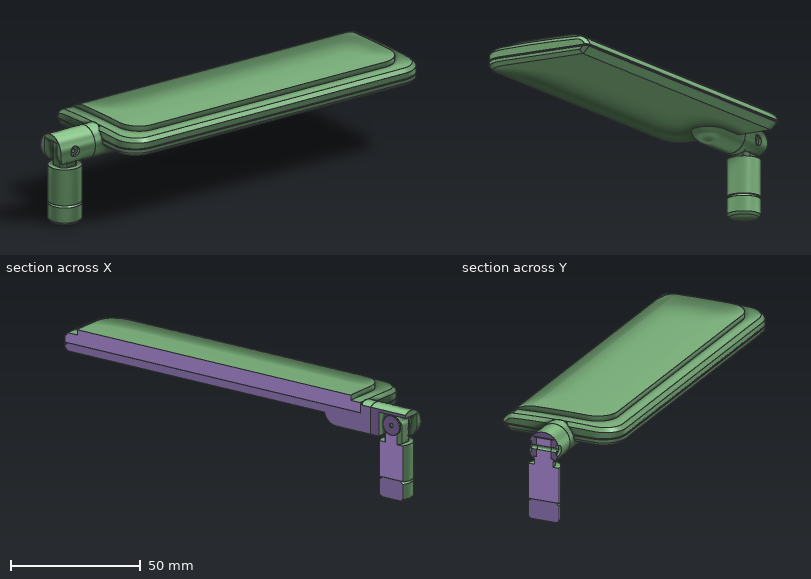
import cadquery as cq
import math


blade_half_width = 24.5
blade_near_y = 13.1
blade_far_y = 155.5
blade_crown_z = 6.5
blade_shoulder_x = -20.3
blade_shoulder_z = 6.0
blade_edge_z = 5.8
blade_bottom_z = -1.1
blade_bottom_left_x = -21.1
blade_corner_radius = 9.7
blade_edge_chamfer = 1.5
upper_nose_bulge = 0.6
lower_nose_bulge = 0.2

upper_rim_z = 2.1
lower_rim_z = 1.6
gap_depth = 0.8

pad_left_x = -22.2
pad_left_z = 5.0
pad_shoulder_x = -13.8
pad_right_x = 18.3
pad_end_margin = 6.0
pad_crown_z = 8.6
pad_shoulder_z = 8.5
pad_right_z = 8.3
pad_nose_bulge = 0.6
pad_corner_radius = 9.1

barrel_radius = 6.7
joint_y = 9.7
barrel_dome_y = 26.3

fork_end_radius = 6.8
slot_half_width = 4.0
slot_roof_z = 4.2
slot_back_y = 5.7
slot_back_z = -5.4
boss_radius = 4.0
boss_face_x = 3.0
hinge_bore_radius = 0.8
hinge_recess_radius = 2.1
hinge_recess_floor_x = 5.4

neck_radius = 4.5
neck_flat = 4.0
sleeve_radius = 6.7
sleeve_top_z = -7.1
sleeve_bottom_z = -21.9
nut_bottom_z = -30.0
nut_chamfer = 1.0


def cylinder_x(radius, start_x, end_x):
    """Cylinder about the hinge axis."""
    return cq.Workplane("YZ", origin=(start_x, 0, 0)).circle(radius).extrude(end_x - start_x)


def cylinder_y(radius, start_y, end_y):
    """Cylinder about the barrel axis."""
    return cq.Workplane("XZ", origin=(0, start_y, 0)).circle(radius).extrude(start_y - end_y)


def cylinder_z(radius, bottom_z, top_z):
    """Cylinder about the connector axis."""
    return cq.Workplane("XY", origin=(0, 0, bottom_z)).circle(radius).extrude(top_z - bottom_z)


def bulged_midpoint(start, end, bulge):
    """Midpoint of a chord, moved by the bulge to the left of the direction of travel."""
    run = end[0] - start[0]
    rise = end[1] - start[1]
    chord = math.hypot(run, rise)
    middle_x = (start[0] + end[0]) / 2 - bulge * rise / chord
    middle_z = (start[1] + end[1]) / 2 + bulge * run / chord
    return middle_x, middle_z


def section_sketch(far_y):
    """Workplane for a blade cross-section, extruded from its far end toward -Y."""
    return cq.Workplane("XZ", origin=(0, far_y, 0))


def make_blade():
    """Whole blade with a crowned top, a pointed left edge and chamfered rims."""
    tip = (-blade_half_width, upper_rim_z)
    shoulder = (blade_shoulder_x, blade_shoulder_z)
    bottom_left = (blade_bottom_left_x, blade_bottom_z)
    blade = (
        section_sketch(blade_far_y)
        .moveTo(*tip)
        .threePointArc(bulged_midpoint(tip, shoulder, upper_nose_bulge), shoulder)
        .threePointArc((0, blade_crown_z), (blade_half_width, blade_edge_z))
        .lineTo(blade_half_width, blade_bottom_z)
        .lineTo(*bottom_left)
        .threePointArc(bulged_midpoint(bottom_left, tip, lower_nose_bulge), tip)
        .close()
        .extrude(blade_far_y - blade_near_y)
    )
    blade = blade.edges("|Z and >X").fillet(blade_corner_radius)
    return blade.faces("<Y or >Y").edges("not |Z").chamfer(blade_edge_chamfer)


def make_layer(start_z, end_z):
    """Block wider than the blade, between two heights."""
    layer = cq.Workplane("XY", origin=(0, barrel_dome_y, start_z))
    return layer.rect(4 * blade_half_width, 2 * blade_far_y).extrude(end_z - start_z)


def make_pad():
    """Crowned pad whose left side curves down into the blade."""
    left = (pad_left_x, pad_left_z)
    shoulder = (pad_shoulder_x, pad_shoulder_z)
    pad_near_y = blade_near_y + pad_end_margin
    pad_far_y = blade_far_y - pad_end_margin
    pad = (
        section_sketch(pad_far_y)
        .moveTo(*left)
        .threePointArc(bulged_midpoint(left, shoulder, pad_nose_bulge), shoulder)
        .threePointArc((0, pad_crown_z), (pad_right_x, pad_right_z))
        .lineTo(pad_right_x, upper_rim_z)
        .lineTo(pad_left_x, upper_rim_z)
        .close()
        .extrude(pad_far_y - pad_near_y)
    )
    return pad.edges("|Z and >X").fillet(pad_corner_radius)


def make_collar():
    """Full round of the barrel between the fork and the top of the blade's end chamfer."""
    return cylinder_y(barrel_radius, joint_y, blade_near_y + blade_edge_chamfer)


def make_seat():
    """Raised middle of the lower shell, inside the shadow gap, on which the upper shell rests."""
    width = 2 * (blade_half_width - gap_depth)
    length = blade_far_y - blade_near_y - 2 * gap_depth
    seat = cq.Workplane("XY", origin=(0, (blade_near_y + blade_far_y) / 2, lower_rim_z))
    seat = seat.rect(width, length).extrude(upper_rim_z - lower_rim_z)
    return seat.edges("|Z and >X").fillet(blade_corner_radius - gap_depth)


def make_upper_shell():
    """Upper blade with its pad, notched round the collar."""
    upper_blade = make_blade().intersect(make_layer(upper_rim_z, pad_crown_z))
    return upper_blade.union(make_pad()).cut(make_collar())


def make_lower_shell():
    """Lower blade with the collar and a round-ended barrel below the blade."""
    barrel = cylinder_y(barrel_radius, joint_y, barrel_dome_y)
    dome = cq.Workplane("XY").sphere(barrel_radius).translate((0, barrel_dome_y, 0))
    underside = make_blade().union(barrel).union(dome)
    underside = underside.intersect(make_layer(-barrel_radius, lower_rim_z))
    return underside.union(make_seat()).union(make_collar())


def make_fork():
    """Barrel slotted from below, with its end rounded about the hinge axis."""
    barrel = cylinder_y(barrel_radius, -fork_end_radius, joint_y)
    side_outline = (
        cq.Workplane("YZ", origin=(-barrel_radius, 0, 0))
        .moveTo(-fork_end_radius, barrel_radius)
        .lineTo(-fork_end_radius, 0)
        .radiusArc((0, -fork_end_radius), -fork_end_radius)
        .lineTo(joint_y, -fork_end_radius)
        .lineTo(joint_y, barrel_radius)
        .close()
        .extrude(2 * barrel_radius)
    )
    fork = barrel.intersect(side_outline)
    flare = fork_end_radius + slot_back_z
    slot = (
        cq.Workplane("YZ", origin=(-slot_half_width, 0, 0))
        .moveTo(-fork_end_radius, slot_roof_z)
        .lineTo(slot_back_y, slot_roof_z)
        .lineTo(slot_back_y, slot_back_z)
        .lineTo(slot_back_y + flare, -fork_end_radius)
        .lineTo(-fork_end_radius, -fork_end_radius)
        .close()
        .extrude(2 * slot_half_width)
    )
    fork = fork.cut(slot)
    for side in (-1, 1):
        boss = cylinder_x(boss_radius, side * boss_face_x, side * slot_half_width)
        recess = cylinder_x(hinge_recess_radius, side * hinge_recess_floor_x, side * barrel_radius)
        fork = fork.union(boss).cut(recess)
    return fork.cut(make_hinge_bore())


def make_hinge_bore():
    """Small through bore along the hinge axis."""
    return cylinder_x(hinge_bore_radius, -barrel_radius, barrel_radius)


def make_swivel():
    """Sleeve with a four-flat neck whose round eye sits between the fork bosses."""
    neck = cylinder_z(neck_radius, sleeve_top_z, neck_flat)
    flats = cq.Workplane("XY", origin=(0, 0, sleeve_top_z)).rect(
        2 * neck_flat, 2 * neck_flat
    ).extrude(-sleeve_top_z)
    eye = cylinder_x(neck_flat, -neck_flat, neck_flat)
    neck = neck.intersect(flats.union(eye)).cut(make_hinge_bore())
    for side in (-1, 1):
        neck = neck.cut(cylinder_x(boss_radius, side * boss_face_x, side * barrel_radius))
    sleeve = cylinder_z(sleeve_radius, sleeve_bottom_z, sleeve_top_z)
    return sleeve.union(neck)


def make_nut():
    """Round coupling nut, chamfered on both rims, touching the sleeve."""
    nut = cylinder_z(sleeve_radius, nut_bottom_z, sleeve_bottom_z)
    return nut.faces("<Z or >Z").edges().chamfer(nut_chamfer)


upper_shell = make_upper_shell()
lower_shell = make_lower_shell()
fork = make_fork()
swivel = make_swivel()
nut = make_nut()

result = cq.Compound.makeCompound([
    upper_shell.val(),
    lower_shell.val(),
    fork.val(),
    swivel.val(),
    nut.val(),
])